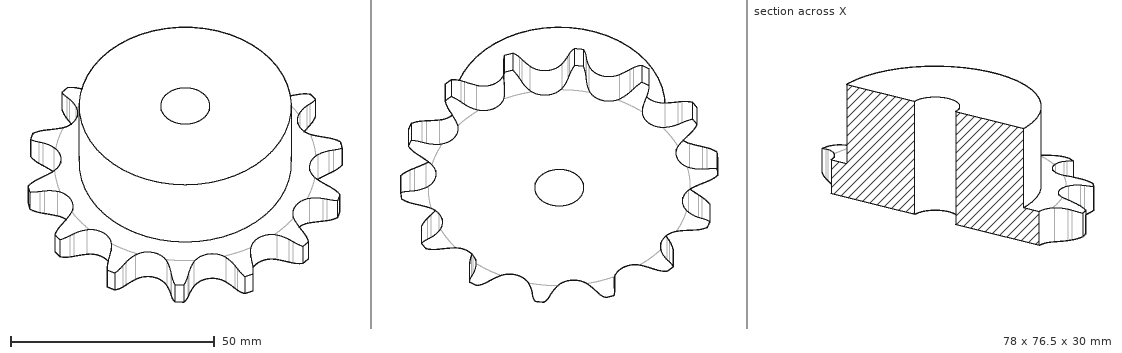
import cadquery as cq
import math

tooth_count = 14
tip_radius = 39.0
pitch_radius = 35.65
roller_diameter = 10.15
seat_clearance = 0.1
wheel_thickness = 9.05
overall_height = 30.0
hub_diameter = 52.0
bore_diameter = 12.0
flat_face_radius = 32.1
relief_depth = 1.4

seat_end_angle = 35 + 60 / tooth_count
working_sweep = 18 - 56 / tooth_count
topping_angle = 17 - 64 / tooth_count
working_centre_offset = 0.8 * roller_diameter
topping_centre_offset = 1.4 * roller_diameter

tooth_pitch = 2 * math.pi / tooth_count
seat_radius = roller_diameter / 2 + seat_clearance
working_radius = seat_radius + working_centre_offset
flank_angle = math.radians(seat_end_angle - working_sweep)
straight_length = (
    topping_centre_offset * math.sin(math.radians(topping_angle))
    - working_centre_offset * math.sin(math.radians(working_sweep))
)
topping_radius = (
    working_centre_offset * math.cos(math.radians(working_sweep))
    + topping_centre_offset * math.cos(math.radians(topping_angle))
    - working_radius
)


def polar(centre, radius, angle):
    """Point at a distance and angle (radians) from a centre."""
    return (centre[0] + radius * math.cos(angle), centre[1] + radius * math.sin(angle))


def rotated(point, angle):
    """Point turned about the wheel axis."""
    x, y = point
    return (
        x * math.cos(angle) - y * math.sin(angle),
        x * math.sin(angle) + y * math.cos(angle),
    )


def mirrored(point):
    """Point reflected across the gap axis, which lies along +Y."""
    return (-point[0], point[1])


def half_gap_points():
    """Right flank of a gap centred on +Y, from the seat bottom to the tooth tip."""
    roller_centre = (0, pitch_radius)
    seat_end = -math.radians(seat_end_angle)
    bottom = polar(roller_centre, seat_radius, -math.pi / 2)
    working_start = polar(roller_centre, seat_radius, seat_end)

    working_centre = polar(roller_centre, -working_centre_offset, seat_end)
    working_middle = polar(working_centre, working_radius, (seat_end - flank_angle) / 2)
    working_end = polar(working_centre, working_radius, -flank_angle)

    topping_start = polar(working_end, straight_length, math.pi / 2 - flank_angle)
    topping_centre = polar(topping_start, topping_radius, -flank_angle)
    centre_distance = math.hypot(*topping_centre)
    centre_direction = math.atan2(topping_centre[1], topping_centre[0])
    corner_cosine = (centre_distance**2 + tip_radius**2 - topping_radius**2) / (
        2 * centre_distance * tip_radius
    )
    tip_corner = polar((0, 0), tip_radius, centre_direction + math.acos(corner_cosine))
    start_angle = math.pi - flank_angle
    end_angle = math.atan2(tip_corner[1] - topping_centre[1], tip_corner[0] - topping_centre[0])
    topping_middle = polar(topping_centre, topping_radius, (start_angle + end_angle) / 2)

    return (
        bottom,
        working_start,
        working_middle,
        working_end,
        topping_start,
        topping_middle,
        tip_corner,
    )


def toothed_plate():
    """Flat plate with the full tooth outline."""
    right = half_gap_points()
    left = [mirrored(point) for point in right]
    bottom, work_start, work_middle, work_end, top_start, top_middle, tip_corner = right
    _, left_work_start, left_work_middle, left_work_end, left_top_start, left_top_middle, left_tip = left
    tip_middle = polar((0, 0), tip_radius, (math.pi + tooth_pitch) / 2)

    outline = cq.Workplane("XY").moveTo(*tip_corner)
    for index in range(tooth_count):
        turn = index * tooth_pitch

        def at(point):
            return rotated(point, turn)

        outline = (
            outline.threePointArc(at(top_middle), at(top_start))
            .lineTo(*at(work_end))
            .threePointArc(at(work_middle), at(work_start))
            .threePointArc(at(bottom), at(left_work_start))
            .threePointArc(at(left_work_middle), at(left_work_end))
            .lineTo(*at(left_top_start))
            .threePointArc(at(left_top_middle), at(left_tip))
            .threePointArc(at(tip_middle), rotated(tip_corner, turn + tooth_pitch))
        )
    return outline.close().extrude(wheel_thickness)


def relieved_disc():
    """Disc whose rim curves in on both sides, tangent to the flat faces."""
    run = tip_radius - flat_face_radius
    relief_radius = (run**2 + relief_depth**2) / (2 * relief_depth)
    half_run = run / 2
    middle_radius = flat_face_radius + half_run
    middle_depth = relief_radius - math.sqrt(relief_radius**2 - half_run**2)
    return (
        cq.Workplane("XZ")
        .lineTo(flat_face_radius, 0)
        .threePointArc((middle_radius, middle_depth), (tip_radius, relief_depth))
        .lineTo(tip_radius, wheel_thickness - relief_depth)
        .threePointArc(
            (middle_radius, wheel_thickness - middle_depth),
            (flat_face_radius, wheel_thickness),
        )
        .lineTo(0, wheel_thickness)
        .close()
        .revolve(360, (0, 0, 0), (0, 1, 0))
    )


wheel = toothed_plate().intersect(relieved_disc())
hub = cq.Workplane("XY").circle(hub_diameter / 2).extrude(overall_height)
bore = cq.Workplane("XY").circle(bore_diameter / 2).extrude(overall_height)
result = wheel.union(hub).cut(bore)